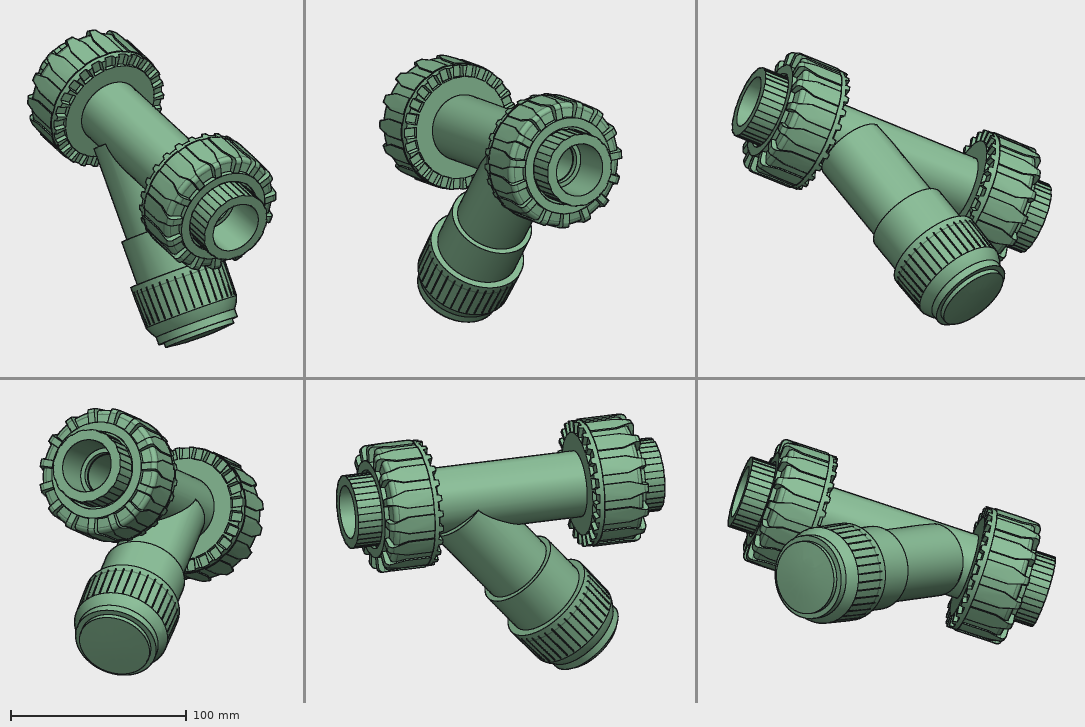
import cadquery as cq
import math


LENGTH = 183.6
HALF_LENGTH = LENGTH / 2
PIPE_DIA = 38.0
PIPE_BORE_DIA = 24.0
JOINT_X = 62.5

CONNECTOR_DIA = 42.0
CONNECTOR_BORE_DIA = 25.0
SOCKET_DIA = 30.3
SOCKET_DEPTH = 25.7
COLLAR_DIA = 45.2
COLLAR_X = 75.5
SPLINE_COUNT = 16
SPLINE_GROOVE_WIDTH = 3.9
SPLINE_GROOVE_DEPTH = 0.4

NUT_FACE_X = 78.2
NUT_BACK_X = 45.7
NUT_DIA = 73.3
NUT_RIM_DIA = 72.2
NUT_CORE_DIA = 71.6
NUT_HUB_DIA = 55.8
NUT_EDGE_RADIUS = 2.8
POCKET_X = 75.5
SHOULDER_X = 74.5
RIDGE_COUNT = 15
RIDGE_FRONT_X = 77.8
RIDGE_TAPER_X = 66.5
RIDGE_BACK_X = 50.9
RIDGE_WIDTH = 10.0
RIDGE_SHOULDER_WIDTH = 4.8
RIDGE_FRONT_WIDTH = 4.0
NOTCH_COUNT = 25
NOTCH_WIDTH = 4.8
NOTCH_MOUTH_WIDTH = 6.2
NOTCH_DEPTH = 2.4
NOTCH_FLOOR_DIA = 59.0
LEFT_NUT_TURN = -40.4

BRANCH_X = -30.8
BRANCH_ANGLE = 49.5
BRANCH_DIA = 41.5
BRANCH_START = 7.7
SLEEVE_DIA = 47.7
SLEEVE_START = 63.2

BONNET_START = 89.5
BONNET_DIA = 55.8
BONNET_BAND_END = 94.4
GRIP_END_DIA = 55.0
GRIP_END = 114.2
SHOULDER_END = 121.0
SHOULDER_BULGE = 0.4
FLANGE_DIA = 47.7
FLANGE_END = 125.5
PLUG_DIA = 41.5
PLUG_END = 128.3
DOME_HEIGHT = 1.5
GRIP_GROOVE_COUNT = 36
GRIP_GROOVE_START = 92.7
GRIP_GROOVE_END = 113.3
GRIP_GROOVE_WIDTH = 0.4
GRIP_GROOVE_DEPTH = 0.5


def x_cylinder(diameter, start, end):
    """Cylinder on the X axis from start to end."""
    return cq.Workplane("YZ").workplane(offset=start).circle(diameter / 2).extrude(end - start)


def around_x(feature, count):
    """Copies of a feature spaced evenly about the X axis, as one compound."""
    copies = [feature.rotate((0, 0, 0), (1, 0, 0), i * 360 / count).val() for i in range(count)]
    return cq.Workplane(cq.Compound.makeCompound(copies))


def mirrored(body):
    return body.mirror("YZ")


def on_branch(body):
    """Move a body built along +X onto the branch axis."""
    return body.rotate((0, 0, 0), (0, 1, 0), BRANCH_ANGLE).translate((BRANCH_X, 0, 0))


def make_body():
    pipe = x_cylinder(PIPE_DIA, -JOINT_X, JOINT_X)
    branch = x_cylinder(BRANCH_DIA, BRANCH_START, SLEEVE_START)
    sleeve = x_cylinder(SLEEVE_DIA, SLEEVE_START, BONNET_START)
    bore = x_cylinder(PIPE_BORE_DIA, -JOINT_X, JOINT_X)
    return pipe.union(on_branch(branch.union(sleeve))).cut(bore)


def make_connector():
    """Left connector: plain collar in the nut and a splined socket end outside it."""
    collar = x_cylinder(COLLAR_DIA, -COLLAR_X, -JOINT_X)
    socket_end = x_cylinder(CONNECTOR_DIA, -HALF_LENGTH, -COLLAR_X)
    groove_floor = CONNECTOR_DIA / 2 - SPLINE_GROOVE_DEPTH
    groove = cq.Workplane("XY").box(
        HALF_LENGTH - COLLAR_X, SPLINE_GROOVE_WIDTH, 2 * SPLINE_GROOVE_DEPTH, centered=(False, True, False)
    ).translate((-HALF_LENGTH, 0, groove_floor))
    socket_end = socket_end.cut(around_x(groove, SPLINE_COUNT))
    bore = x_cylinder(CONNECTOR_BORE_DIA, -HALF_LENGTH, -JOINT_X)
    socket = x_cylinder(SOCKET_DIA, -HALF_LENGTH, -HALF_LENGTH + SOCKET_DEPTH)
    return collar.union(socket_end).cut(bore).cut(socket)


def nut_core():
    """Turned shape of the left nut, without ridges."""
    hub_radius = NUT_HUB_DIA / 2
    core_radius = NUT_CORE_DIA / 2
    edge_mid = NUT_EDGE_RADIUS * (1 - math.sqrt(0.5))
    return (
        cq.Workplane("XY")
        .moveTo(-NUT_FACE_X, 0)
        .lineTo(-NUT_FACE_X, hub_radius)
        .lineTo(-POCKET_X, hub_radius)
        .lineTo(-SHOULDER_X, core_radius - NUT_EDGE_RADIUS)
        .threePointArc(
            (-SHOULDER_X + edge_mid, core_radius - edge_mid),
            (-SHOULDER_X + NUT_EDGE_RADIUS, core_radius),
        )
        .lineTo(-RIDGE_BACK_X, core_radius)
        .lineTo(-RIDGE_BACK_X, NUT_RIM_DIA / 2)
        .lineTo(-NUT_BACK_X, NUT_RIM_DIA / 2)
        .lineTo(-NUT_BACK_X, 0)
        .close()
        .revolve(360, (0, 0, 0), (1, 0, 0))
    )


def nut_ridges():
    """Tapered grip ridges, trimmed to the nut's rounded outer envelope."""
    plan = [
        (-RIDGE_BACK_X, RIDGE_WIDTH / 2),
        (-RIDGE_TAPER_X, RIDGE_WIDTH / 2),
        (-SHOULDER_X, RIDGE_SHOULDER_WIDTH / 2),
        (-RIDGE_FRONT_X, RIDGE_FRONT_WIDTH / 2),
    ]
    plan += [(x, -y) for x, y in reversed(plan)]
    inner = COLLAR_DIA / 2 + 1.8
    ridge = cq.Workplane("XY").workplane(offset=inner).polyline(plan).close().extrude(NUT_DIA / 2 - inner)
    envelope = x_cylinder(NUT_DIA, -RIDGE_FRONT_X, -RIDGE_BACK_X).faces("<X").edges().fillet(NUT_EDGE_RADIUS)
    ridge = ridge.intersect(envelope).rotate((0, 0, 0), (1, 0, 0), 90 + 180 / RIDGE_COUNT)
    return around_x(ridge, RIDGE_COUNT)


def nut_notches():
    """Radial notches in the back edge of the nut, wider at the mouth."""
    floor = NOTCH_FLOOR_DIA / 2
    bottom_x = -NUT_BACK_X - NOTCH_DEPTH
    plan = [
        (bottom_x, NOTCH_WIDTH / 2),
        (-NUT_BACK_X, NOTCH_MOUTH_WIDTH / 2),
        (-NUT_BACK_X, -NOTCH_MOUTH_WIDTH / 2),
        (bottom_x, -NOTCH_WIDTH / 2),
    ]
    notch = cq.Workplane("XY").workplane(offset=floor).polyline(plan).close().extrude(NUT_DIA / 2 - floor)
    return around_x(notch.rotate((0, 0, 0), (1, 0, 0), 90 + 180 / NOTCH_COUNT), NOTCH_COUNT)


def make_nut():
    """Left nut, with the middle of a gap between ridges facing -Y."""
    collar_hole = x_cylinder(COLLAR_DIA, -NUT_FACE_X, -JOINT_X)
    pipe_hole = x_cylinder(PIPE_DIA, -JOINT_X, -NUT_BACK_X)
    nut = nut_core().union(nut_ridges()).cut(nut_notches())
    return nut.cut(collar_hole).cut(pipe_hole)


def make_bonnet():
    dome_start_radius = PLUG_DIA / 2
    dome_radius = (dome_start_radius**2 + DOME_HEIGHT**2) / (2 * DOME_HEIGHT)
    dome_mid_radius = dome_start_radius / 2
    dome_mid = PLUG_END + DOME_HEIGHT - dome_radius + math.sqrt(dome_radius**2 - dome_mid_radius**2)
    turned = (
        cq.Workplane("XY")
        .moveTo(BONNET_START, 0)
        .lineTo(BONNET_START, BONNET_DIA / 2)
        .lineTo(BONNET_BAND_END, BONNET_DIA / 2)
        .lineTo(GRIP_END, GRIP_END_DIA / 2)
        .sagittaArc((SHOULDER_END, FLANGE_DIA / 2), SHOULDER_BULGE)
        .lineTo(FLANGE_END, FLANGE_DIA / 2)
        .lineTo(FLANGE_END, PLUG_DIA / 2)
        .lineTo(PLUG_END, dome_start_radius)
        .threePointArc((dome_mid, dome_mid_radius), (PLUG_END + DOME_HEIGHT, 0))
        .close()
        .revolve(360, (0, 0, 0), (1, 0, 0))
    )
    groove_floor = GRIP_END_DIA / 2 - GRIP_GROOVE_DEPTH
    groove = cq.Workplane("XY").box(
        GRIP_GROOVE_END - GRIP_GROOVE_START, GRIP_GROOVE_WIDTH, 1.8, centered=(False, True, False)
    ).translate((GRIP_GROOVE_START, 0, groove_floor))
    return on_branch(turned.cut(around_x(groove, GRIP_GROOVE_COUNT)))


body = make_body()
bonnet = make_bonnet()

connector = make_connector()
connectors = [connector, mirrored(connector)]

nut = make_nut()
nuts = [nut.rotate((0, 0, 0), (1, 0, 0), LEFT_NUT_TURN), mirrored(nut)]

result = cq.Compound.makeCompound(
    [body.val(), bonnet.val(), *[c.val() for c in connectors], *[n.val() for n in nuts]]
)